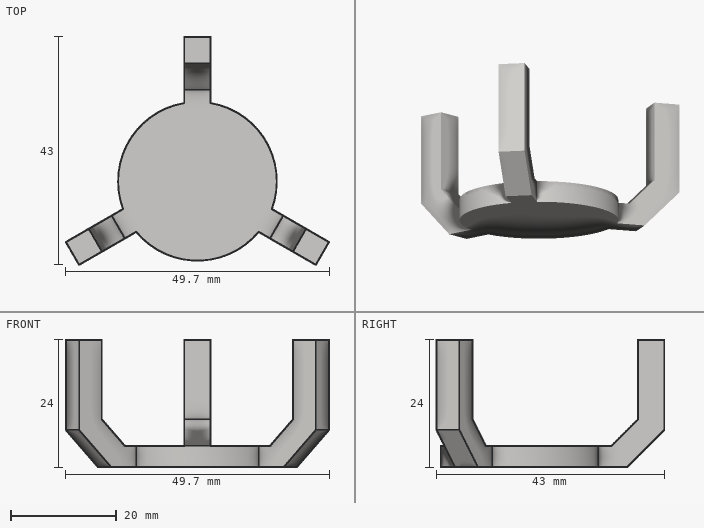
import cadquery as cq

disc_radius = 15.0
disc_thickness = 4.0

arm_count = 3
arm_width = 5.0
arm_thickness = 5.0
arm_reach = 27.25
total_height = 24.0
bend_rise = 5.0
outer_bend_height = 7.0
first_arm_angle = 90.0


def make_disc():
    return cq.Workplane("XY").circle(disc_radius).extrude(disc_thickness)


def make_arm():
    """Arm along +X: a flat root, a 45 degree bend and a vertical upright."""
    upright_inner = arm_reach - arm_thickness
    profile = [
        (0, 0),
        (arm_reach - outer_bend_height, 0),
        (arm_reach, outer_bend_height),
        (arm_reach, total_height),
        (upright_inner, total_height),
        (upright_inner, disc_thickness + bend_rise),
        (upright_inner - bend_rise, disc_thickness),
        (0, disc_thickness),
    ]
    return cq.Workplane("XZ").polyline(profile).close().extrude(arm_width / 2, both=True)


result = make_disc()
arm = make_arm()
for index in range(arm_count):
    angle = first_arm_angle + index * 360.0 / arm_count
    result = result.union(arm.rotate((0, 0, 0), (0, 0, 1), angle))